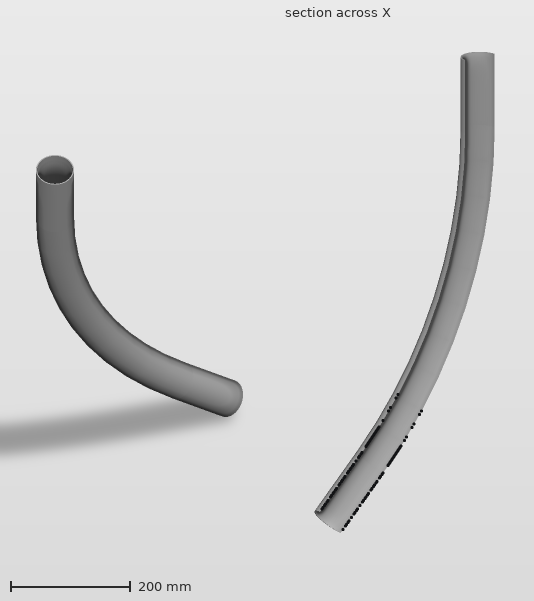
import cadquery as cq
import math

overall_height = 778.0
outer_diameter = 64.0
inner_diameter = 60.0
leg_length = 127.0
bend_angle = 45.0

outer_radius = outer_diameter / 2
sin_bend = math.sin(math.radians(bend_angle))
cos_bend = math.cos(math.radians(bend_angle))

leg_rise = leg_length * (1 + cos_bend)
end_face_drop = outer_radius * sin_bend
bend_radius = (overall_height - leg_rise - end_face_drop) / sin_bend


def straight_leg(profile_plane):
    """Straight length of tube running along the normal of the plane."""
    return (
        cq.Workplane(profile_plane)
        .circle(outer_radius)
        .circle(inner_diameter / 2)
        .extrude(leg_length)
    )


def tube_bend():
    """Curved length of tube, from the origin down and toward +Y."""
    return (
        cq.Workplane("XY")
        .circle(outer_radius)
        .circle(inner_diameter / 2)
        .revolve(bend_angle, (0, bend_radius, 0), (1, bend_radius, 0))
    )


upper_plane = cq.Plane(origin=(0, 0, 0), xDir=(1, 0, 0), normal=(0, 0, 1))
lower_plane = cq.Plane(
    origin=(0, bend_radius * (1 - cos_bend), -bend_radius * sin_bend),
    xDir=(1, 0, 0),
    normal=(0, sin_bend, -cos_bend),
)

result = (
    straight_leg(upper_plane)
    .union(tube_bend())
    .union(straight_leg(lower_plane))
)